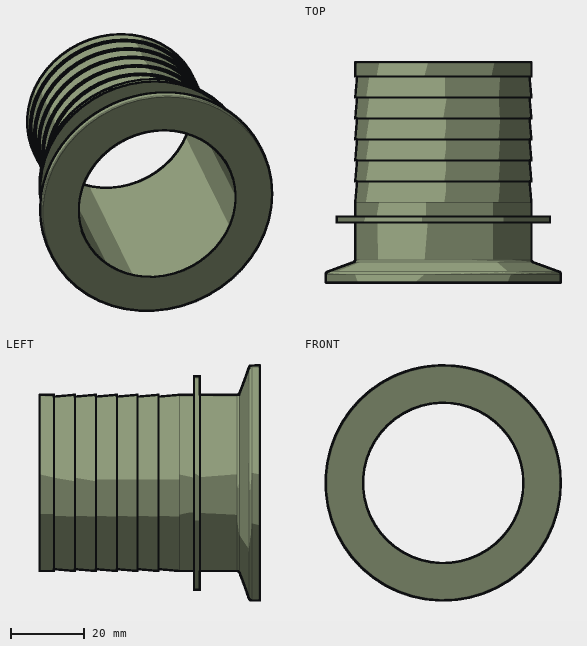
import cadquery as cq
import math

length = 60.0
bore_radius = 21.75
tube_radius = 24.0

flange_radius = 32.0
lip_width = 2.9
cone_angle = 20.0
lip_round = 0.9
cone_root_round = 0.65
face_edge_round = 0.3

disc_radius = 29.05
disc_start = 16.4
disc_width = 1.65

barb_count = 6
barb_pitch = 5.7
barb_depth = 0.5
end_land = 4.0
end_edge_round = 0.3

cone_width = (flange_radius - tube_radius) * math.tan(math.radians(cone_angle))
cone_end = lip_width + cone_width
barbs_end = length - end_land
barbs_start = barbs_end - barb_count * barb_pitch


def round_edge(body, radius, y, fillet):
    """Round the circular edge of the given radius at the given Y."""
    tolerance = fillet / 10

    def is_wanted(edge):
        return abs(edge.Center().y - y) < tolerance and abs(edge.radius() - radius) < tolerance

    return body.edges("%CIRCLE").filter(is_wanted).fillet(fillet)


outline = [
    (bore_radius, 0),
    (flange_radius, 0),
    (flange_radius, lip_width),
    (tube_radius, cone_end),
    (tube_radius, disc_start),
    (disc_radius, disc_start),
    (disc_radius, disc_start + disc_width),
    (tube_radius, disc_start + disc_width),
    (tube_radius, barbs_start),
]
for barb in range(barb_count):
    barb_crest = barbs_start + barb * barb_pitch
    barb_root = barb_crest + barb_pitch
    outline.append((tube_radius - barb_depth, barb_root))
    outline.append((tube_radius, barb_root))
outline += [(tube_radius, length), (bore_radius, length)]
body = cq.Workplane("XY").polyline(outline).close().revolve(360, (0, 0, 0), (0, 1, 0))

body = round_edge(body, flange_radius, 0, face_edge_round)
body = round_edge(body, flange_radius, lip_width, lip_round)
body = round_edge(body, tube_radius, cone_end, cone_root_round)
result = round_edge(body, tube_radius, length, end_edge_round)